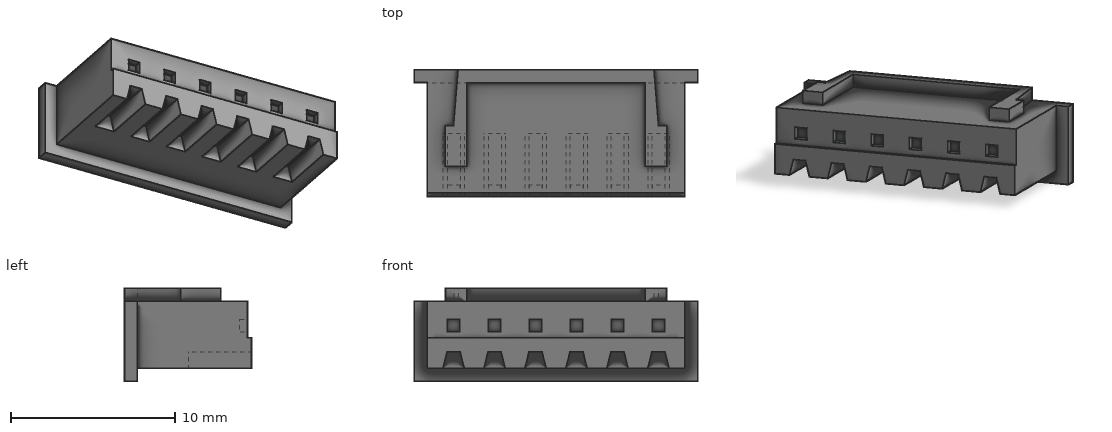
import cadquery as cq

length = 17.3
depth = 7.75
height = 5.7
wall = 0.8

body_length = length - 2 * wall
body_bottom = wall
body_top = height - wall
step_depth = 0.25
step_height = 1.87

contact_count = 6
contact_row_length = 12.49
contact_pitch = contact_row_length / (contact_count - 1)
contact_positions = [
    -contact_row_length / 2 + index * contact_pitch for index in range(contact_count)
]

opening_width = 0.78
opening_height = 0.75
opening_rise = 2.23
opening_bottom = body_bottom + opening_rise
opening_depth = 0.5

groove_top_width = 0.8
groove_bottom_width = 1.3
groove_height = 1.0
groove_length = depth / 2

rail_inner_half = 5.45
rail_rear_half = 5.97
rail_neck_half = 6.25
rail_barb_half = 6.75
rail_reach = 5.88
barb_start = 3.43


def make_flange():
    """Rear plate wider than the body and reaching below it."""
    return (
        cq.Workplane("XY")
        .box(length, wall, body_top, centered=(True, False, False))
        .translate((0, depth - wall, 0))
    )


def make_body():
    """Housing block whose lower front projects as a small step."""
    profile = [
        (0, body_bottom),
        (depth, body_bottom),
        (depth, body_top),
        (step_depth, body_top),
        (step_depth, body_bottom + step_height),
        (0, body_bottom + step_height),
    ]
    return cq.Workplane("YZ").polyline(profile).close().extrude(body_length / 2, both=True)


def make_rail():
    """Rear bar with two forward arms, each ending in an outward barb."""
    rear = depth
    right_half = [
        (rail_rear_half, rear),
        (rail_neck_half, rear - barb_start),
        (rail_barb_half, rear - barb_start),
        (rail_barb_half, rear - rail_reach),
        (rail_inner_half, rear - rail_reach),
        (rail_inner_half, rear - wall),
    ]
    left_half = [(-x, y) for x, y in reversed(right_half)]
    outline = cq.Workplane("XY", origin=(0, 0, body_top)).polyline(right_half + left_half).close()
    return outline.extrude(wall)


def make_opening(x):
    """Blind rectangular opening in the recessed upper part of the front face."""
    return (
        cq.Workplane("XY")
        .box(opening_width, opening_depth, opening_height, centered=(True, False, False))
        .translate((x, step_depth, opening_bottom))
    )


def make_groove(x):
    """Trapezoidal groove running back from the front face."""
    groove_top = body_bottom + groove_height
    profile = [
        (x - groove_bottom_width / 2, body_bottom),
        (x + groove_bottom_width / 2, body_bottom),
        (x + groove_top_width / 2, groove_top),
        (x - groove_top_width / 2, groove_top),
    ]
    return cq.Workplane("XZ").polyline(profile).close().extrude(-groove_length)


result = make_body().union(make_flange()).union(make_rail())
for position in contact_positions:
    result = result.cut(make_opening(position)).cut(make_groove(position))